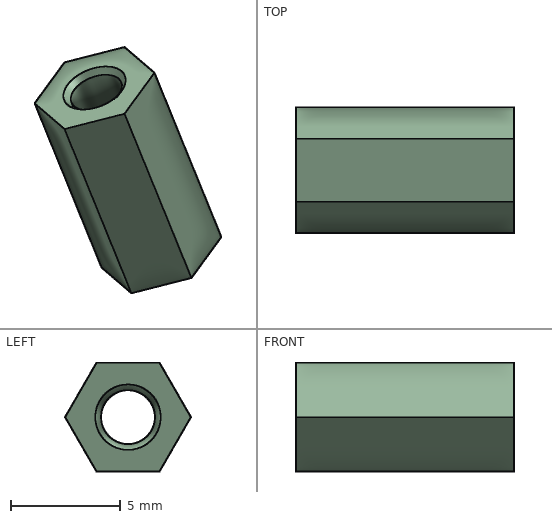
import cadquery as cq
import math

length = 10.0
across_flats = 5.0
bore_diameter = 2.46
countersink_diameter = 3.0

across_corners = across_flats / math.cos(math.radians(30))
countersink_depth = (countersink_diameter - bore_diameter) / 2

bar = cq.Workplane("YZ").polygon(6, across_corners).extrude(length / 2, both=True)

half_length = length / 2
bore_radius = bore_diameter / 2
countersink_radius = countersink_diameter / 2
bore = (
    cq.Workplane("XY")
    .moveTo(-half_length, 0)
    .lineTo(-half_length, countersink_radius)
    .lineTo(-half_length + countersink_depth, bore_radius)
    .lineTo(half_length - countersink_depth, bore_radius)
    .lineTo(half_length, countersink_radius)
    .lineTo(half_length, 0)
    .close()
    .revolve(360, (0, 0, 0), (1, 0, 0))
)

result = bar.cut(bore)